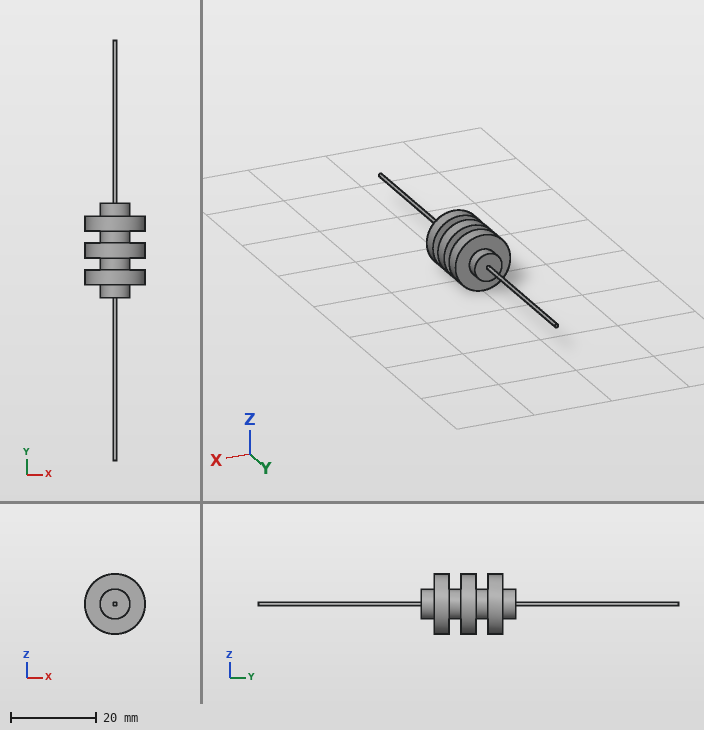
import cadquery as cq

wire_length = 98.4
wire_diameter = 0.9
core_length = 22.2
core_diameter = 7.0
disc_diameter = 14.2
disc_thickness = 3.5
disc_pitch = 6.3
disc_count = 3


def cylinder_along_y(diameter, length, centre_y=0.0):
    """Solid cylinder on the Y axis, centred at centre_y."""
    return (
        cq.Workplane("XZ", origin=(0, centre_y + length / 2, 0))
        .circle(diameter / 2)
        .extrude(length)
    )


result = cylinder_along_y(wire_diameter, wire_length)
result = result.union(cylinder_along_y(core_diameter, core_length))

first_disc_y = -disc_pitch * (disc_count - 1) / 2
for index in range(disc_count):
    disc_y = first_disc_y + index * disc_pitch
    result = result.union(cylinder_along_y(disc_diameter, disc_thickness, disc_y))